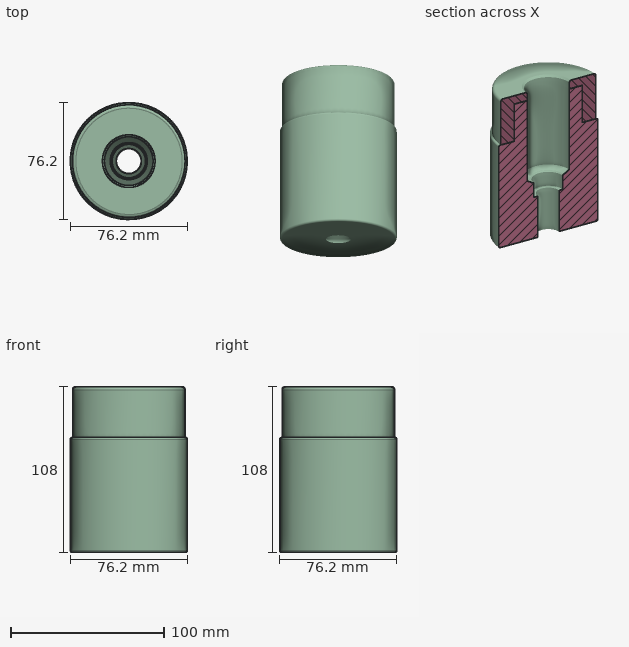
import math

import cadquery as cq

total_height = 108.0
shoulder_height = 74.9
base_radius = 38.1
base_edge_fillet = 1.3
cap_radius = 36.7
cap_edge_fillet = 2.0

neck_radius = 26.3
lip_thickness = 6.0
neck_top = total_height - lip_thickness

bore_radius = 15.9
bore_chamfer = 1.3
bore_end_height = 43.2
cone_half_angle = 60.0
cone_end_radius = 12.1
cone_height = (bore_radius - cone_end_radius) / math.tan(math.radians(cone_half_angle))

recess_radius = 10.9
recess_chamfer = 0.8
recess_depth = 10.8
recess_top = bore_end_height - cone_height
recess_floor = recess_top - recess_depth
hole_radius = 8.1


def cylinder(radius, bottom, top):
    """Solid cylinder on the Z axis between two heights."""
    return cq.Workplane("XY", origin=(0, 0, bottom)).circle(radius).extrude(top - bottom)


def make_base_bore():
    """Stepped bore volume of the base, from the through hole to the neck top."""
    return (
        cq.Workplane("XZ")
        .lineTo(hole_radius, 0)
        .lineTo(hole_radius, recess_floor)
        .lineTo(recess_radius, recess_floor)
        .lineTo(recess_radius, recess_top - recess_chamfer)
        .lineTo(recess_radius + recess_chamfer, recess_top)
        .lineTo(cone_end_radius, recess_top)
        .lineTo(bore_radius, bore_end_height)
        .lineTo(bore_radius, neck_top)
        .lineTo(0, neck_top)
        .close()
        .revolve(360, (0, 0), (0, 1))
    )


def make_base():
    """Lower cylinder with rounded rims, a neck and a stepped axial bore."""
    body = cylinder(base_radius, 0, shoulder_height)
    body = body.faces("<Z or >Z").edges().fillet(base_edge_fillet)
    neck = cylinder(neck_radius, shoulder_height, neck_top)
    return body.union(neck).cut(make_base_bore())


def make_cap():
    """Sleeve around the neck with a rounded top rim and a chamfered inward lip."""
    body = cylinder(cap_radius, shoulder_height, total_height)
    body = body.faces(">Z").edges().fillet(cap_edge_fillet)
    body = body.cut(cylinder(neck_radius, shoulder_height, neck_top))
    body = body.cut(cylinder(bore_radius, neck_top, total_height))
    return body.faces(">Z").edges("%CIRCLE").edges(cq.selectors.RadiusNthSelector(0)).chamfer(bore_chamfer)


base = make_base()
cap = make_cap()

result = cq.Compound.makeCompound([base.solids().val(), cap.solids().val()])